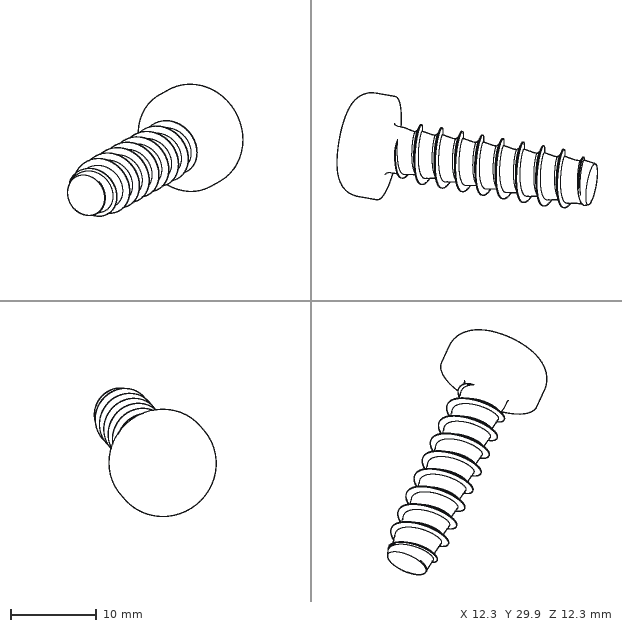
import cadquery as cq
import math


TOTAL_LENGTH = 29.9
HEAD_HEIGHT = 4.9
SHANK_LENGTH = TOTAL_LENGTH - HEAD_HEIGHT

HEAD_RADIUS = 6.15
DOME_RADIUS = 2.45
RIM_FILLET = 0.12

NECK_RADIUS = 2.75
NECK_FILLET = 0.93
NECK_END = 1.67
CORE_DIAMETER = 5.0
CORE_RADIUS = CORE_DIAMETER / 2
CORE_CONE_LENGTH = 1.2

TIP_RADIUS = 2.45
TIP_CHAMFER_LENGTH = 0.9
TIP_CHAMFER_RADIUS = 2.75
TIP_DIMPLE_RADIUS = 2.33
TIP_DIMPLE_DEPTH = 0.27

PITCH = 2.48
CREST_DIAMETER = 6.95
CREST_RADIUS = CREST_DIAMETER / 2
CREST_WIDTH = 0.12
SHOULDER_DIAMETER = 5.4
SHOULDER_RADIUS = SHOULDER_DIAMETER / 2
FULL_TURNS = 7
FADE_TURNS = 1.5
FULL_START_ANGLE = 90.0
FULL_START = 3.85
ROOT_OVERLAP = 0.03

FOOT_RADIUS = CORE_RADIUS - ROOT_OVERLAP
FULL_PROFILE = [
    (-0.63, FOOT_RADIUS),
    (-0.3, 2.78),
    (-CREST_WIDTH / 2, CREST_RADIUS),
    (CREST_WIDTH / 2, CREST_RADIUS),
    (0.255, SHOULDER_RADIUS),
    (1.67, FOOT_RADIUS),
]
FADED_PROFILE = [
    (-0.15, FOOT_RADIUS),
    (-0.1, 2.6),
    (-0.05, 2.65),
    (0.03, 2.65),
    (0.1, 2.63),
    (1.67, FOOT_RADIUS),
]

ARC_INSET = 1 - math.sqrt(0.5)


def make_body():
    """Head, neck and core as one turned profile."""
    dome_sag = DOME_RADIUS * ARC_INSET
    rim_sag = RIM_FILLET * ARC_INSET
    fillet_sag = NECK_FILLET * ARC_INSET
    profile = (
        cq.Workplane("XZ")
        .moveTo(0, -HEAD_HEIGHT)
        .lineTo(HEAD_RADIUS - DOME_RADIUS, -HEAD_HEIGHT)
        .threePointArc(
            (HEAD_RADIUS - dome_sag, -HEAD_HEIGHT + dome_sag),
            (HEAD_RADIUS, -HEAD_HEIGHT + DOME_RADIUS),
        )
        .lineTo(HEAD_RADIUS, -RIM_FILLET)
        .threePointArc(
            (HEAD_RADIUS - rim_sag, -rim_sag),
            (HEAD_RADIUS - RIM_FILLET, 0),
        )
        .lineTo(NECK_RADIUS + NECK_FILLET, 0)
        .threePointArc(
            (NECK_RADIUS + fillet_sag, fillet_sag),
            (NECK_RADIUS, NECK_FILLET),
        )
        .lineTo(NECK_RADIUS, NECK_END)
        .lineTo(CORE_RADIUS, NECK_END + CORE_CONE_LENGTH)
        .lineTo(CORE_RADIUS, SHANK_LENGTH)
        .lineTo(0, SHANK_LENGTH)
        .close()
    )
    return profile.revolve(360, (0, 0, 0), (0, 1, 0))


def helix_edge(start, end, turns, start_angle):
    """Helix from one (axial position, radius) to another over the given number of turns."""
    (start_z, start_radius), (end_z, end_radius) = start, end
    rise = end_z - start_z
    taper = math.atan2(end_radius - start_radius, rise)
    slant = rise / math.cos(taper)
    cone_angle = math.degrees(taper) if taper else 360.0
    wire = cq.Wire.makeHelix(
        slant / turns, slant, start_radius, cq.Vector(0, 0, start_z), angle=cone_angle
    )
    return wire.rotate(cq.Vector(0, 0, 0), cq.Vector(0, 0, 1), start_angle).Edges()[0]


def thread_section(start_profile, end_profile, first_turn, turns):
    """Thread stretch whose cross-section changes evenly from one profile to the other."""
    start_z = FULL_START + PITCH * first_turn
    end_z = start_z + PITCH * turns
    start_angle = FULL_START_ANGLE + 360 * first_turn
    helices = [
        helix_edge((start_z + s[0], s[1]), (end_z + e[0], e[1]), turns, start_angle)
        for s, e in zip(start_profile, end_profile)
    ]
    faces = [
        cq.Face.makeRuledSurface(helix, following)
        for helix, following in zip(helices, helices[1:] + helices[:1])
    ]
    for corners in ([h.startPoint() for h in helices], [h.endPoint() for h in helices]):
        faces.append(cq.Face.makeFromWires(cq.Wire.makePolygon(corners, close=True)))
    section = cq.Solid.makeSolid(cq.Shell.makeShell(faces))
    return cq.Workplane(section.fix())


def make_thread():
    """Full thread with a fading stretch at each end, cut off square at the neck and the tip."""
    sections = [
        thread_section(FADED_PROFILE, FULL_PROFILE, -FADE_TURNS, FADE_TURNS),
        thread_section(FULL_PROFILE, FULL_PROFILE, 0, FULL_TURNS),
        thread_section(FULL_PROFILE, FADED_PROFILE, FULL_TURNS, FADE_TURNS),
    ]
    envelope = (
        cq.Workplane("XY", origin=(0, 0, NECK_END))
        .circle(2 * CREST_RADIUS)
        .extrude(SHANK_LENGTH - NECK_END)
    )
    return [section.intersect(envelope) for section in sections]


def tip_trim():
    """Ring outside the tip cone, together with the shallow conical dimple in the end face."""
    outside = 2 * TIP_CHAMFER_RADIUS
    ring = (
        cq.Workplane("XZ")
        .moveTo(TIP_CHAMFER_RADIUS, SHANK_LENGTH - TIP_CHAMFER_LENGTH)
        .lineTo(TIP_RADIUS, SHANK_LENGTH)
        .lineTo(outside, SHANK_LENGTH)
        .close()
        .revolve(360, (0, 0, 0), (0, 1, 0))
    )
    apex = cq.Vector(0, 0, SHANK_LENGTH - TIP_DIMPLE_DEPTH)
    dimple = cq.Workplane(cq.Solid.makeCone(0, TIP_DIMPLE_RADIUS, TIP_DIMPLE_DEPTH, apex))
    return ring, dimple


screw = make_body()
for section in make_thread():
    screw = screw.union(section)
for trim in tip_trim():
    screw = screw.cut(trim)

result = screw.rotate((0, 0, 0), (1, 0, 0), 90)